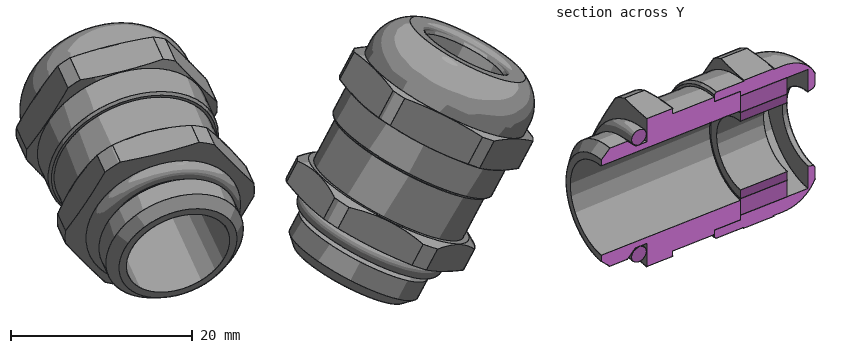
import cadquery as cq
import math

total_length = 28.55

across_flats = 20.0
hex_face_diameter = 19.88

cap_length = 13.5
cap_diameter = 19.8
cap_face_diameter = 14.28
dome_length = 4.3
collar_chamfer = 0.29
cap_hex_start = 5.5
cap_hex_end = 9.57
cap_hex_corner_diameter = 22.2
cap_hex_chamfer_length = 0.29

mouth_round = 0.63
mouth_diameter = 10.2
lip_diameter = 9.95
lip_thickness = 1.0
cavity_diameter = 16.0

insert_start = 3.75
insert_end = 10.0
seal_outer_diameter = 11.55
seal_bore_diameter = 9.22

spigot_diameter = 17.25
barrel_diameter = 18.6
body_bore_diameter = 12.0
body_hex_start = 19.0
body_hex_end = 22.5
body_hex_corner_diameter = 22.0
body_hex_front_chamfer_length = 0.63
body_hex_rear_chamfer_length = 0.2
thread_diameter = 16.0
thread_end_chamfer = 1.15
thread_start_chamfer_end = 25.05

ring_inner_diameter = 13.8
ring_section_diameter = 2.03


def turned(profile):
    """Revolve a closed (x, radius) profile about the X axis."""
    return profile.close().revolve(360, (0, 0, 0), (1, 0, 0))


def turned_points(points):
    """Revolve a closed polygon of (x, radius) points about the X axis."""
    return turned(cq.Workplane("XY").polyline(points))


def tube(start, end, outer_diameter, inner_diameter):
    outer_radius = outer_diameter / 2
    inner_radius = inner_diameter / 2
    return turned_points(
        [(start, inner_radius), (start, outer_radius), (end, outer_radius), (end, inner_radius)]
    )


def rod(start, end, diameter):
    return tube(start, end, diameter, 0)


def chamfered_hex(start, end, corner_diameter, front_chamfer_length, rear_chamfer_length):
    """Hexagon with flats facing +Z and -Z, its corners turned round and coned at both ends."""
    prism_diameter = across_flats / math.cos(math.radians(30))
    prism = (
        cq.Workplane("YZ", origin=(start, 0, 0)).polygon(6, prism_diameter).extrude(end - start)
    )
    face_radius = hex_face_diameter / 2
    corner_radius = corner_diameter / 2
    envelope = turned_points(
        [
            (start, 0),
            (start, face_radius),
            (start + front_chamfer_length, corner_radius),
            (end - rear_chamfer_length, corner_radius),
            (end, face_radius),
            (end, 0),
        ]
    )
    return prism.intersect(envelope)


def cap_outside():
    face_radius = cap_face_diameter / 2
    cap_radius = cap_diameter / 2
    rise = cap_radius - face_radius
    dome_radius = (dome_length**2 + rise**2) / (2 * rise)
    half_angle = math.asin(dome_length / dome_radius) / 2
    arc_middle = (
        dome_length - dome_radius * math.sin(half_angle),
        cap_radius - dome_radius * (1 - math.cos(half_angle)),
    )
    shell = turned(
        cq.Workplane("XY")
        .moveTo(0, 0)
        .lineTo(0, face_radius)
        .threePointArc(arc_middle, (dome_length, cap_radius))
        .lineTo(cap_length - collar_chamfer, cap_radius)
        .lineTo(cap_length, cap_radius - collar_chamfer)
        .lineTo(cap_length, 0)
    )
    grip = chamfered_hex(
        cap_hex_start,
        cap_hex_end,
        cap_hex_corner_diameter,
        cap_hex_chamfer_length,
        cap_hex_chamfer_length,
    )
    return shell.union(grip)


def cap_mouth():
    """Opening through the lip: a rounded entry, then a slight taper."""
    mouth_radius = mouth_diameter / 2
    arc_offset = mouth_round * (1 - math.sqrt(0.5))
    return turned(
        cq.Workplane("XY")
        .moveTo(0, 0)
        .lineTo(0, mouth_radius + mouth_round)
        .threePointArc((arc_offset, mouth_radius + arc_offset), (mouth_round, mouth_radius))
        .lineTo(lip_thickness, lip_diameter / 2)
        .lineTo(lip_thickness, 0)
    )


def make_cap_nut():
    cavity = rod(lip_thickness, insert_end, cavity_diameter)
    spigot_socket = rod(insert_end, cap_length, spigot_diameter)
    return cap_outside().cut(cap_mouth()).cut(cavity).cut(spigot_socket)


def make_cage():
    return tube(insert_start, insert_end, cavity_diameter, seal_outer_diameter)


def make_seal():
    return tube(insert_start, insert_end, seal_outer_diameter, seal_bore_diameter)


def make_body():
    neck_radius = ring_inner_diameter / 2
    thread_radius = thread_diameter / 2
    thread_start_chamfer = thread_radius - neck_radius
    threaded_end = turned_points(
        [
            (body_hex_end, 0),
            (body_hex_end, neck_radius),
            (thread_start_chamfer_end - thread_start_chamfer, neck_radius),
            (thread_start_chamfer_end, thread_radius),
            (total_length - thread_end_chamfer, thread_radius),
            (total_length, thread_radius - thread_end_chamfer),
            (total_length, 0),
        ]
    )
    grip = chamfered_hex(
        body_hex_start,
        body_hex_end,
        body_hex_corner_diameter,
        body_hex_front_chamfer_length,
        body_hex_rear_chamfer_length,
    )
    return (
        rod(insert_end, cap_length, spigot_diameter)
        .union(rod(cap_length, body_hex_start, barrel_diameter))
        .union(grip)
        .union(threaded_end)
        .cut(rod(insert_end, total_length, body_bore_diameter))
    )


def make_sealing_ring():
    """O-ring seated on the neck, against the rear face of the body hexagon."""
    section_radius = ring_section_diameter / 2
    section_centre_radius = ring_inner_diameter / 2 + section_radius
    return (
        cq.Workplane("XY", origin=(body_hex_end + section_radius, section_centre_radius, 0))
        .circle(section_radius)
        .revolve(360, (0, -section_centre_radius, 0), (1, -section_centre_radius, 0))
    )


cap_nut = make_cap_nut()
cage = make_cage()
seal = make_seal()
body = make_body()
sealing_ring = make_sealing_ring()

result = cq.Compound.makeCompound(
    [cap_nut.val(), cage.val(), seal.val(), body.val(), sealing_ring.val()]
)